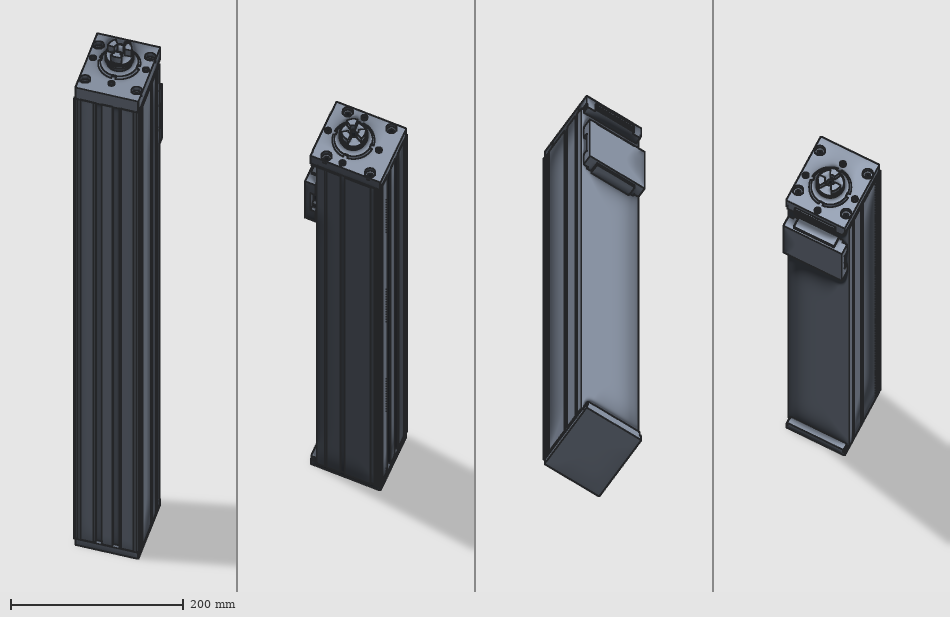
import cadquery as cq
import math

total_height = 824.0
end_cap_top = 11.0
head_bottom = 778.0
head_top = 798.0
collar_height = 2.5
neck_top = 807.0
hub_top = 814.0

profile_side = 80.0
cap_width = 77.0
cap_back = 49.0
cap_edge_chamfer = 1.0
carriage_rise = 16.0
profile_half = profile_side / 2
carriage_back = profile_half + carriage_rise
screw_axis_y = 11.0

side_groove_depth = (profile_side - cap_width) / 2
side_groove_y = 7.5
side_groove_width = 6.0
fine_groove_width = 2.5
fine_groove_depth = 1.0
rear_fine_groove_y = 29.0
front_recess_width = 64.0
front_recess_depth = 1.0
front_slot_spacing = 21.0
front_slot_x = front_slot_spacing / 2
front_slot_width = 8.0
front_slot_depth = 5.0
slot_lip_width = 2.5
corner_groove_offset = 3.0
side_band_y = -30.5
side_band_width = 5.0

lug_width = 73.0
head_lug_bottom = 771.0
end_lug_top = 18.0
stop_rib_width = 53.0
stop_rib_height = 6.0
stop_rib_back = 51.0
upper_rib_bottom = 781.5

corner_hole_x = 31.0
corner_hole_front_y = -24.0
corner_hole_back_y = 31.0
screw_clearance = 6.2
screw_counterbore = 12.0
counterbore_depth = 7.5
flange_hole_radius = 32.0
flange_hole_diameter = 5.0
flange_hole_mouth = 7.5
flange_hole_mouth_depth = 1.0
flange_hole_depth = 8.0

carriage_bottom = 627.0
carriage_top = 731.0
end_plate_thickness = 5.0
end_plate_width = 53.0
end_plate_back = 53.0
carriage_gap = 2.5
foot_width = 64.0
notch_bottom = 658.0
notch_top = 701.0
notch_back = 49.0
notch_depth = 10.0
notch_step = 7.5

collar_bottom_radius = 25.0
collar_top_radius = 22.0
collar_slot_width = 5.0
collar_slot_inner_radius = 21.5
neck_diameter = 29.0
neck_radius = neck_diameter / 2
hub_radius = 16.5
rim_groove_bottom = 810.0
rim_groove_height = 2.5
rim_groove_depth = 1.0
jaw_outer_radius = neck_radius
jaw_inner_radius = 6.2
jaw_count = 3
jaw_span = 54.0
first_jaw_angle = 30.0
coupling_bore = 8.0


def block(x_min, x_max, y_min, y_max, z_min, z_max):
    """Box between two opposite corners."""
    size = (x_max - x_min, y_max - y_min, z_max - z_min)
    return cq.Workplane("XY").box(*size, centered=False).translate((x_min, y_min, z_min))


def wide_block(width, y_min, y_max, z_min, z_max):
    """Box centred on X = 0."""
    return block(-width / 2, width / 2, y_min, y_max, z_min, z_max)


def side_groove(side, y, width, depth):
    """Cutter for a long groove in the -X (side = -1) or +X (side = 1) face of the profile."""
    x_inner = side * (profile_half - depth)
    x_outer = side * profile_half
    return block(min(x_inner, x_outer), max(x_inner, x_outer),
                 y - width / 2, y + width / 2, end_cap_top, head_bottom)


def front_groove(x, width, depth):
    """Cutter for a long groove in the front face of the profile."""
    return block(x - width / 2, x + width / 2, -profile_half, depth - profile_half,
                 end_cap_top, head_bottom)


def make_profile():
    """Square extrusion with long grooves in the front and in both sides."""
    profile = wide_block(profile_side, -profile_half, profile_half, end_cap_top, head_bottom)
    profile = profile.cut(front_groove(0, front_recess_width, front_recess_depth))
    corner_line = profile_half - corner_groove_offset
    for side in (-1, 1):
        slot_outer_edge = front_slot_x + front_slot_width / 2
        profile = profile.cut(front_groove(side * front_slot_x, front_slot_width, front_slot_depth))
        profile = profile.cut(front_groove(side * (slot_outer_edge + slot_lip_width / 2),
                                           slot_lip_width, front_recess_depth + fine_groove_depth))
        profile = profile.cut(front_groove(side * corner_line, fine_groove_width, fine_groove_depth))
        profile = profile.cut(side_groove(side, side_groove_y, side_groove_width, side_groove_depth))
        profile = profile.cut(side_groove(side, side_band_y, side_band_width, fine_groove_depth))
        for y in (rear_fine_groove_y, -corner_line):
            profile = profile.cut(side_groove(side, y, fine_groove_width, fine_groove_depth))
    return profile


def make_head():
    """Drive-side cap with a back lug, two stop ribs and the mounting holes."""
    head = wide_block(cap_width, -profile_half, cap_back, head_bottom, head_top)
    head = head.edges("|Z and <Y").chamfer(cap_edge_chamfer)
    head = head.union(wide_block(lug_width, profile_half, cap_back, head_lug_bottom, head_bottom))
    for rib_bottom in (head_lug_bottom, upper_rib_bottom):
        head = head.union(wide_block(stop_rib_width, profile_half, stop_rib_back,
                                     rib_bottom, rib_bottom + stop_rib_height))

    corner_points = [(x, y) for x in (-corner_hole_x, corner_hole_x)
                     for y in (corner_hole_front_y, corner_hole_back_y)]
    top = cq.Workplane("XY", origin=(0, 0, head_top))
    thickness = head_top - head_bottom
    head = head.cut(top.pushPoints(corner_points).circle(screw_clearance / 2).extrude(-thickness))
    head = head.cut(top.pushPoints(corner_points).circle(screw_counterbore / 2)
                    .extrude(-counterbore_depth))

    flange_points = top.center(0, screw_axis_y).polarArray(flange_hole_radius, 0, 360, 4)
    head = head.cut(flange_points.circle(flange_hole_diameter / 2).extrude(-flange_hole_depth))
    return head.cut(flange_points.circle(flange_hole_mouth / 2).extrude(-flange_hole_mouth_depth))


def make_end_cap():
    """Plain cap at the bottom end, with a lug behind the profile."""
    cap = wide_block(cap_width, -profile_half, cap_back, 0, end_cap_top)
    lug = wide_block(lug_width, profile_half, cap_back, end_cap_top, end_lug_top)
    return cap.union(lug).edges("|Z and (<Y or >Y)").chamfer(cap_edge_chamfer)


def make_carriage():
    """Slide block on a narrower foot, with end plates and a stepped notch in each side."""
    body_bottom = carriage_bottom + end_plate_thickness
    body_top = carriage_top - end_plate_thickness
    body_front = profile_half + carriage_gap
    carriage = wide_block(cap_width, body_front, carriage_back, body_bottom, body_top)
    carriage = carriage.union(wide_block(end_plate_width, profile_half, end_plate_back,
                                         carriage_bottom, carriage_top))
    carriage = carriage.union(wide_block(foot_width, profile_half, body_front, body_bottom, body_top))
    for side in (-1, 1):
        for depth, inset in ((notch_depth / 2, 0), (notch_depth, notch_step)):
            x_inner = side * (cap_width / 2 - depth)
            x_outer = side * cap_width / 2
            carriage = carriage.cut(block(min(x_inner, x_outer), max(x_inner, x_outer),
                                          body_front, notch_back,
                                          notch_bottom + inset, notch_top - inset))
    return carriage


def make_collar():
    """Low conical ring around the coupling neck, with four radial slots."""
    collar = (
        cq.Workplane("XZ")
        .moveTo(neck_radius, 0)
        .lineTo(collar_bottom_radius, 0)
        .lineTo(collar_top_radius, collar_height)
        .lineTo(neck_radius, collar_height)
        .close()
        .revolve(360, (0, 0), (0, 1))
    )
    slot_length = collar_bottom_radius - collar_slot_inner_radius
    slot = (
        cq.Workplane("XY")
        .box(slot_length, collar_slot_width, collar_height, centered=(False, True, False))
        .translate((collar_slot_inner_radius, 0, 0))
    )
    for angle in (0, 90, 180, 270):
        collar = collar.cut(slot.rotate((0, 0, 0), (0, 0, 1), angle))
    return collar.translate((0, screw_axis_y, head_top))


def make_jaw(middle_angle):
    """Ring sector on top of the hub, centred on the given angle."""
    def point(radius, angle):
        turn = math.radians(angle)
        return (radius * math.cos(turn), radius * math.sin(turn))

    start = middle_angle - jaw_span / 2
    end = middle_angle + jaw_span / 2
    return (
        cq.Workplane("XY", origin=(0, 0, hub_top))
        .moveTo(*point(jaw_inner_radius, start))
        .lineTo(*point(jaw_outer_radius, start))
        .threePointArc(point(jaw_outer_radius, middle_angle), point(jaw_outer_radius, end))
        .lineTo(*point(jaw_inner_radius, end))
        .threePointArc(point(jaw_inner_radius, middle_angle), point(jaw_inner_radius, start))
        .close()
        .extrude(total_height - hub_top)
    )


def make_coupling():
    """Grooved hub on a narrower neck, with three jaws and a bore."""
    groove_radius = hub_radius - rim_groove_depth
    groove_top = rim_groove_bottom + rim_groove_height
    coupling = (
        cq.Workplane("XZ")
        .moveTo(coupling_bore / 2, head_top)
        .lineTo(neck_radius, head_top)
        .lineTo(neck_radius, neck_top)
        .lineTo(hub_radius, neck_top)
        .lineTo(hub_radius, rim_groove_bottom)
        .lineTo(groove_radius, rim_groove_bottom)
        .lineTo(groove_radius, groove_top)
        .lineTo(hub_radius, groove_top)
        .lineTo(hub_radius, hub_top)
        .lineTo(coupling_bore / 2, hub_top)
        .close()
        .revolve(360, (0, 0), (0, 1))
    )
    for index in range(jaw_count):
        coupling = coupling.union(make_jaw(first_jaw_angle + index * 360 / jaw_count))
    return coupling.translate((0, screw_axis_y, 0))


profile = make_profile()
head = make_head()
end_cap = make_end_cap()
carriage = make_carriage()
collar = make_collar()
coupling = make_coupling()

result = cq.Compound.makeCompound([
    profile.val(),
    head.val(),
    end_cap.val(),
    carriage.val(),
    collar.val(),
    coupling.val(),
])